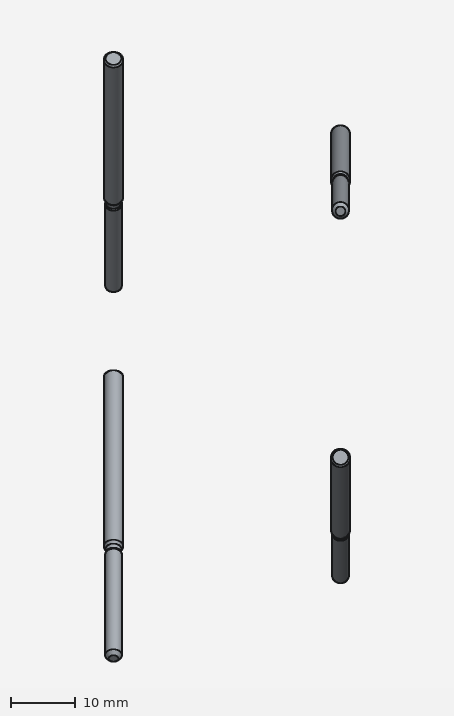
import cadquery as cq

total_length = 60.0
shank_diameter = 3.0
top_chamfer = 0.3
shank_bottom = 23.75
neck_diameter = 2.4
neck_top = 23.2

pin_diameter = 2.65
pin_length = 22.4
pin_top_taper = 0.35
tip_diameter = 1.5
tip_height = 0.7


def revolve_profile(half_outline):
    """Turn a closed (radius, height) outline about the Z axis."""
    return cq.Workplane("XZ").polyline(half_outline).close().revolve(360, (0, 0), (0, 1))


def make_shank():
    """Chamfered rod that tapers to a neck standing on the pin."""
    radius = shank_diameter / 2
    neck_radius = neck_diameter / 2
    return revolve_profile([
        (0, pin_length),
        (neck_radius, pin_length),
        (neck_radius, neck_top),
        (radius, shank_bottom),
        (radius, total_length - top_chamfer),
        (radius - top_chamfer, total_length),
        (0, total_length),
    ])


def make_pin():
    """Thinner rod, tapered to the neck above and to a blunt tip below."""
    radius = pin_diameter / 2
    return revolve_profile([
        (0, 0),
        (tip_diameter / 2, 0),
        (radius, tip_height),
        (radius, pin_length - pin_top_taper),
        (neck_diameter / 2, pin_length),
        (0, pin_length),
    ])


shank = make_shank()
pin = make_pin()
result = cq.Compound.makeCompound([shank.val(), pin.val()])